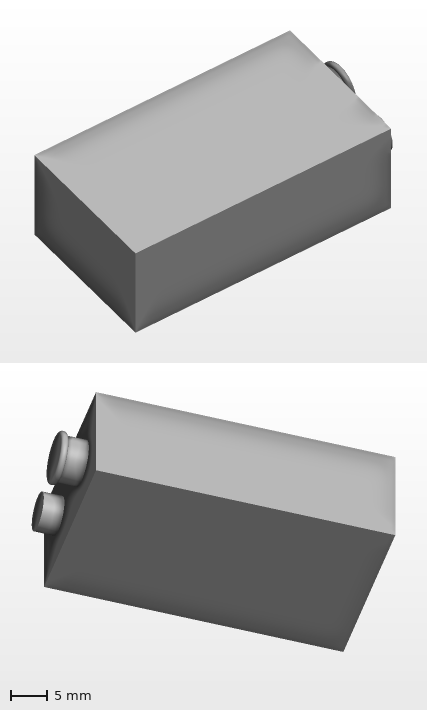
import cadquery as cq

total_length = 47.0
case_width = 24.0
case_length = 43.0
case_height = 15.0

neck_diameter = 6.6
rim_diameter = 7.6
rim_thickness = 1.05
rim_rounding = 0.45
flanged_x = -5.4

post_diameter = 5.6
post_length = 2.95
post_x = 5.4


def cylinder_along_y(diameter, x, y_start, length):
    """Cylinder at mid-height of the case, running toward +Y."""
    return cq.Workplane(cq.Solid.makeCylinder(
        diameter / 2, length, cq.Vector(x, y_start, 0), cq.Vector(0, 1, 0)))


def flanged_terminal():
    neck_length = total_length - case_length
    neck = cylinder_along_y(neck_diameter, flanged_x, case_length, neck_length)
    rim = cylinder_along_y(rim_diameter, flanged_x, total_length - rim_thickness, rim_thickness)
    return neck.union(rim.edges("%CIRCLE").fillet(rim_rounding))


case = cq.Workplane("XY").box(case_width, case_length, case_height, centered=(True, False, True))
post = cylinder_along_y(post_diameter, post_x, case_length, post_length)

result = case.union(flanged_terminal()).union(post)